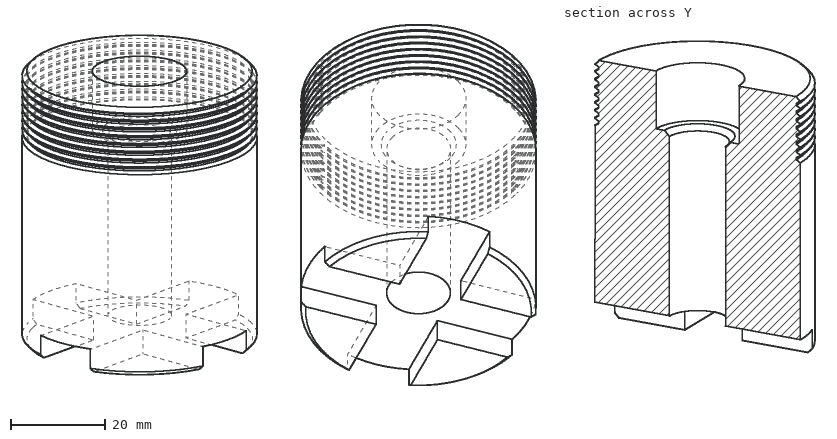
import cadquery as cq
import math

height = 60.0
outer_diameter = 50.0
outer_radius = outer_diameter / 2
chamfer = 1.0

thread_length = 15.0
thread_angle = 60
groove_count = 8
groove_pitch = (thread_length - chamfer) / groove_count
crest_width = groove_pitch / 8
root_width = groove_pitch / 4
flank_height = (groove_pitch - crest_width - root_width) / 2
groove_depth = flank_height / math.tan(math.radians(thread_angle / 2))

bore_radius = 10.0
bore_depth = 13.0
hole_mouth_radius = 8.0
hole_radius = 6.8

slot_width = 14.0
slot_depth = 5.35


def make_body():
    """Revolve the outside: chamfered ends and a stack of ring grooves below the top chamfer."""
    profile = (
        cq.Workplane("XZ")
        .lineTo(outer_radius - chamfer, 0)
        .lineTo(outer_radius, chamfer)
    )
    root_radius = outer_radius - groove_depth
    first_groove_top = height - chamfer
    for groove in reversed(range(groove_count)):
        groove_top = first_groove_top - groove * groove_pitch
        root_top = groove_top - flank_height
        root_bottom = root_top - root_width
        groove_bottom = root_bottom - flank_height
        profile = (
            profile.lineTo(outer_radius, groove_bottom)
            .lineTo(root_radius, root_bottom)
            .lineTo(root_radius, root_top)
            .lineTo(outer_radius, groove_top)
        )
    return (
        profile.lineTo(outer_radius - chamfer, height)
        .lineTo(0, height)
        .close()
        .revolve(360, (0, 0, 0), (0, 1, 0))
    )


def make_bore():
    """Revolve the bore: a wide flat-floored bore, a 45 degree countersink and a through hole."""
    floor = height - bore_depth
    countersink_depth = hole_mouth_radius - hole_radius
    return (
        cq.Workplane("XZ")
        .lineTo(hole_radius, 0)
        .lineTo(hole_radius, floor - countersink_depth)
        .lineTo(hole_mouth_radius, floor)
        .lineTo(bore_radius, floor)
        .lineTo(bore_radius, height)
        .lineTo(0, height)
        .close()
        .revolve(360, (0, 0, 0), (0, 1, 0))
    )


def make_cross_slots():
    """Two slots at right angles, each running straight across the bottom face."""
    slot = cq.Workplane("XY").box(
        outer_diameter, slot_width, slot_depth, centered=(True, True, False)
    )
    return slot.union(slot.rotate((0, 0, 0), (0, 0, 1), 90))


result = make_body().cut(make_bore()).cut(make_cross_slots())